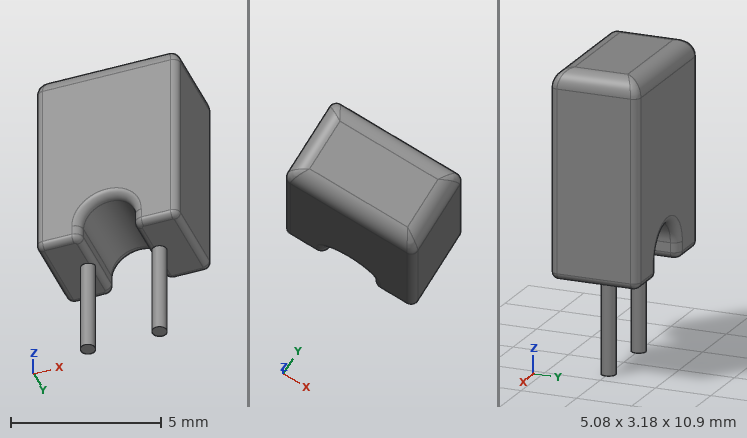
import cadquery as cq

width = 5.08
depth = 3.18
total_height = 10.86
pin_length = 3.51
body_height = total_height - pin_length

side_radius = 0.26
top_radius = 0.63
bottom_radius = 0.23
notch_edge_radius = 0.3

notch_radius = 0.93
notch_center_z = 4.08

pin_diameter = 0.51
pin_spacing = 2.55
pin_embedding = 0.54

selection_margin = 0.01


def make_block():
    """Block with large top rounds and small vertical rounds."""
    block = cq.Workplane("XY").box(width, depth, body_height, centered=(True, True, False))
    block = block.translate((0, 0, pin_length))
    block = block.faces(">Z").edges().fillet(top_radius)
    return block.edges("|Z").fillet(side_radius)


def cut_notch(block):
    """Cut the straight-sided arch from front to back."""
    arch = (
        cq.Workplane("XZ")
        .moveTo(-notch_radius, pin_length)
        .lineTo(-notch_radius, notch_center_z)
        .threePointArc((0, notch_center_z + notch_radius), (notch_radius, notch_center_z))
        .lineTo(notch_radius, pin_length)
        .close()
        .extrude(depth / 2, both=True)
    )
    return block.cut(arch)


def round_lower_edges(body):
    """Round the notch outline on the front and back faces, then the whole underside."""
    notch_zone = cq.selectors.BoxSelector(
        (-notch_radius - selection_margin, -depth, pin_length - selection_margin),
        (notch_radius + selection_margin, depth, notch_center_z + notch_radius + selection_margin),
    )
    rims = body.faces("<Y or >Y").edges(notch_zone)
    body = rims.fillet(notch_edge_radius)
    return body.faces("<Z").edges().fillet(bottom_radius)


def make_pins():
    """Two round pins, sunk into the body so that they join it."""
    return (
        cq.Workplane("XY")
        .pushPoints([(-pin_spacing / 2, 0), (pin_spacing / 2, 0)])
        .circle(pin_diameter / 2)
        .extrude(pin_length + pin_embedding)
    )


body = round_lower_edges(cut_notch(make_block()))
result = body.union(make_pins())